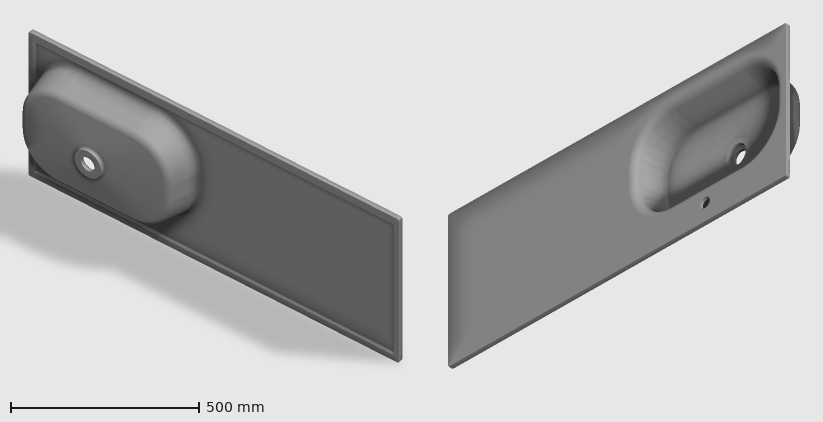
import cadquery as cq
import math

LENGTH = 1250.0
HEIGHT = 500.0
RIM_DEPTH = 15.0
SHEET = 10.0
BORDER_SIDE = 18.0
BORDER_TOP = 26.0
BORDER_BOTTOM = 20.0
BORDER_SLOPE = 6.0
CORNER_RADIUS = 5.0

BOWL_X = 300.0
BOWL_Z = 280.0
BOWL_HALF_X = 272.0
BOWL_HALF_Z = 172.0
BOWL_CORNER = 144.0
WALL_TAPER = 13.0
WALL_DEPTH = 114.0
FLOOR_ROUND = 21.0
FLARE_ROUND = 14.0
FLOOR_APEX = 130.0

TOTAL_DEPTH = 142.0
DRAIN_RADIUS = 45.0
DRAIN_BLEND = 8.0
DRAIN_HOLE_RADIUS = 22.0
TAP_HOLE_Z = 61.0
TAP_HOLE_RADIUS = 18.0

TAPER_RUN = math.tan(math.radians(WALL_TAPER))
ROUND_REACH = math.tan(math.radians((90 - WALL_TAPER) / 2))


def plane_at(depth, x=0, z=0):
    """Workplane parallel to the deck; extrusions run toward -Y."""
    return cq.Workplane("XZ", origin=(x, -depth, z))


def bowl_outline(offset):
    """Rounded rectangle of the bowl, grown by offset."""
    return (
        cq.Sketch()
        .rect(2 * (BOWL_HALF_X + offset), 2 * (BOWL_HALF_Z + offset))
        .vertices()
        .fillet(BOWL_CORNER + offset)
    )


def bowl_body(top, bottom, offset, floor_round, flare_round):
    """Bowl volume between two depths, flared at the top and with a sloping floor."""
    walls = plane_at(top, BOWL_X, BOWL_Z).placeSketch(bowl_outline(offset))
    walls = walls.extrude(bottom - top, taper=WALL_TAPER)
    walls = walls.faces("<Y").edges().fillet(floor_round)

    slab = plane_at(top - SHEET, BOWL_X, BOWL_Z).rect(LENGTH, LENGTH).extrude(SHEET)
    junction = cq.selectors.BoxSelector(
        (BOWL_X - BOWL_HALF_X, -top - SHEET / 2, BOWL_Z - BOWL_HALF_Z),
        (BOWL_X + BOWL_HALF_X, -top + SHEET / 2, BOWL_Z + BOWL_HALF_Z),
    )
    flared = slab.union(walls).edges(junction).fillet(flare_round)
    flare_edge = bowl_outline(offset + flare_round * ROUND_REACH)
    trim = plane_at(top - SHEET, BOWL_X, BOWL_Z).placeSketch(flare_edge).extrude(TOTAL_DEPTH)

    floor_offset = offset - (bottom - top) * TAPER_RUN - floor_round * ROUND_REACH
    slope = FLOOR_APEX - WALL_DEPTH
    drain_edge = cq.Sketch().circle(DRAIN_RADIUS + DRAIN_BLEND)
    floor = plane_at(bottom, BOWL_X, BOWL_Z).placeSketch(
        bowl_outline(floor_offset),
        drain_edge.moved(cq.Location(cq.Vector(0, 0, slope))),
    ).loft()
    return flared.intersect(trim).union(floor)


def deck():
    """Plate with a shallow recess left inside its border."""
    plate = plane_at(0).rect(LENGTH, HEIGHT, centered=False).extrude(RIM_DEPTH)
    plate = plate.edges("|Y").fillet(CORNER_RADIUS)
    depth = RIM_DEPTH - SHEET
    middle = (HEIGHT + BORDER_BOTTOM - BORDER_TOP) / 2
    recess = (
        cq.Workplane("XZ", origin=(LENGTH / 2, -RIM_DEPTH, middle))
        .rect(LENGTH - 2 * BORDER_SIDE, HEIGHT - BORDER_TOP - BORDER_BOTTOM)
        .extrude(-depth, taper=math.degrees(math.atan(BORDER_SLOPE / depth)))
    )
    return plate.cut(recess)


def drain():
    """Drain boss with a concave blend into the bowl floor."""
    start = FLOOR_APEX - SHEET / 2
    blend_end = FLOOR_APEX + DRAIN_BLEND
    outer = DRAIN_RADIUS + DRAIN_BLEND
    sag = DRAIN_BLEND * (1 - math.sqrt(0.5))
    profile = (
        cq.Workplane("XY", origin=(BOWL_X, 0, BOWL_Z))
        .moveTo(0, -start)
        .lineTo(outer, -start)
        .lineTo(outer, -FLOOR_APEX)
        .threePointArc((DRAIN_RADIUS + sag, -FLOOR_APEX - sag), (DRAIN_RADIUS, -blend_end))
        .lineTo(DRAIN_RADIUS, -TOTAL_DEPTH)
        .lineTo(0, -TOTAL_DEPTH)
        .close()
    )
    return profile.revolve(360, (0, 0), (0, 1))


def drain_sump():
    """Recess above the drain seat, open to the bowl."""
    floor = TOTAL_DEPTH - SHEET
    return plane_at(WALL_DEPTH, BOWL_X, BOWL_Z).circle(DRAIN_RADIUS - SHEET).extrude(floor - WALL_DEPTH)


def through_hole(z, radius):
    """Cutter through the full depth, on the bowl's vertical centre line."""
    return plane_at(-SHEET, BOWL_X, z).circle(radius).extrude(TOTAL_DEPTH + 2 * SHEET)


outside = bowl_body(SHEET, WALL_DEPTH, 0, FLOOR_ROUND, FLARE_ROUND)
inner_offset = SHEET * TAPER_RUN - SHEET / math.cos(math.radians(WALL_TAPER))
cavity = bowl_body(0, WALL_DEPTH - SHEET, inner_offset, FLOOR_ROUND - SHEET, FLARE_ROUND + SHEET)

result = (
    deck()
    .union(outside)
    .cut(cavity)
    .union(drain())
    .cut(drain_sump())
    .cut(through_hole(BOWL_Z, DRAIN_HOLE_RADIUS))
    .cut(through_hole(TAP_HOLE_Z, TAP_HOLE_RADIUS))
)